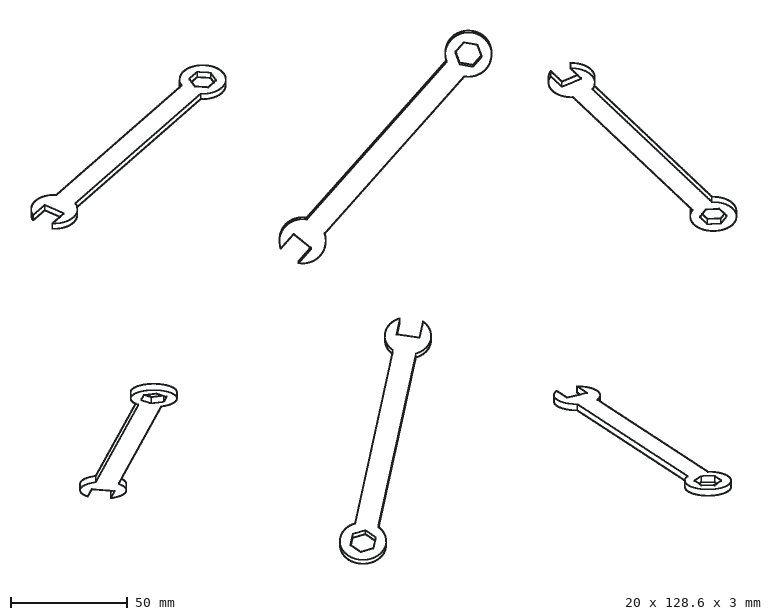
import cadquery as cq
import math

overall_length = 128.6
thickness = 3.0
head_diameter = 20.0
nut_width = 10.0
handle_width = 10.0

head_radius = head_diameter / 2
jaw_tip_reach = math.sqrt(head_radius**2 - (nut_width / 2) ** 2)
center_distance = overall_length - head_radius - jaw_tip_reach
hex_corner_diameter = nut_width / math.cos(math.radians(30))


def head(center_y):
    """Round head disc centred on the handle axis."""
    return cq.Workplane("XY").center(0, center_y).circle(head_radius).extrude(thickness)


def handle():
    """Flat bar running between the two head centres."""
    return (
        cq.Workplane("XY")
        .center(0, center_distance / 2)
        .rect(handle_width, center_distance)
        .extrude(thickness)
    )


def hex_hole():
    """Through hexagon in the ring head, with two flats parallel to the handle."""
    return (
        cq.Workplane("XY")
        .center(0, center_distance)
        .transformed(rotate=(0, 0, 90))
        .polygon(6, hex_corner_diameter)
        .extrude(thickness)
    )


def jaw_slot():
    """Open slot from the centre of the jaw head out through its end."""
    return (
        cq.Workplane("XY")
        .center(0, -head_radius / 2)
        .rect(nut_width, head_radius)
        .extrude(thickness)
    )


body = head(0).union(handle()).union(head(center_distance))
result = body.cut(hex_hole()).cut(jaw_slot())